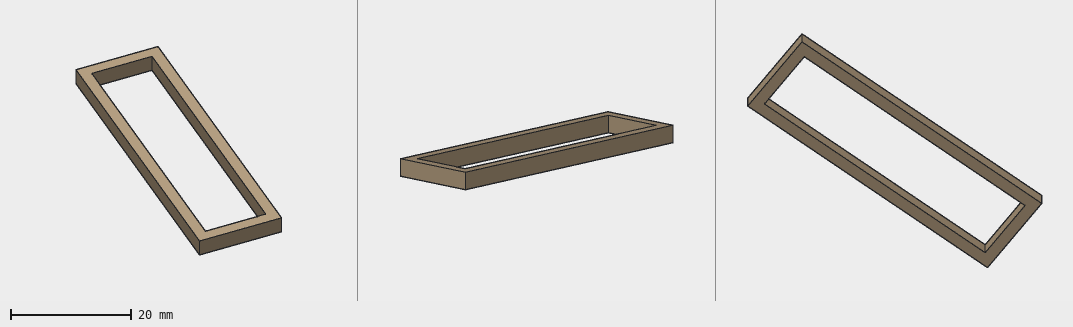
import cadquery as cq

length = 50.0
width = 15.0
height = 3.0

wall = 2.0

opening_length = length - 2 * wall
opening_width = width - 2 * wall

result = (
    cq.Workplane("XY")
    .rect(length, width)
    .rect(opening_length, opening_width)
    .extrude(height)
)